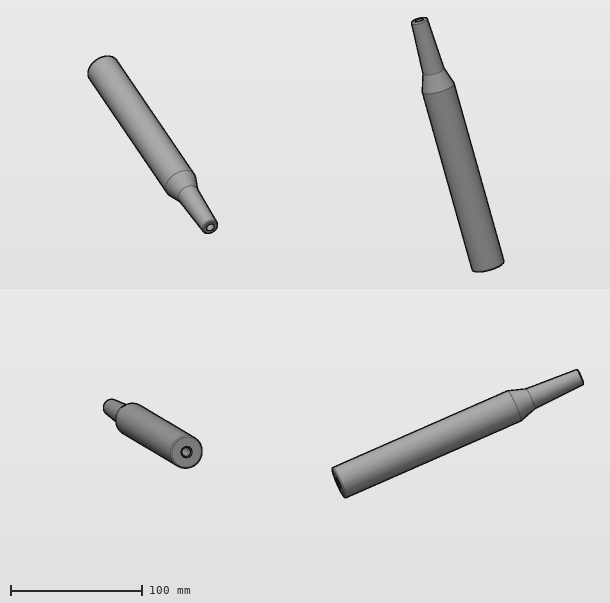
import cadquery as cq

total_length = 203.2
body_length = 147.5
shoulder_length = 13.6
mouth_cone_length = 0.5
throat_cone_length = 0.8
thread_bore_depth = 24.4

body_diameter = 25.5
neck_diameter = 16.9
tip_diameter = 12.8
thread_bore_diameter = 7.0
through_bore_diameter = 6.3
throat_diameter = 8.0
bore_mouth_diameter = 8.7

body_fillet = 1.0
tip_fillet = 1.0

body_radius = body_diameter / 2
neck_radius = neck_diameter / 2
tip_radius = tip_diameter / 2
neck_start = body_length + shoulder_length


def turned_shank():
    """Cylindrical body, conical shoulder and slender tapered neck, turned about X."""
    return (
        cq.Workplane("XY")
        .moveTo(0, 0)
        .lineTo(0, body_radius - body_fillet)
        .radiusArc((body_fillet, body_radius), body_fillet)
        .lineTo(body_length, body_radius)
        .lineTo(neck_start, neck_radius)
        .lineTo(total_length - tip_fillet, tip_radius)
        .radiusArc((total_length, tip_radius - tip_fillet), tip_fillet)
        .lineTo(total_length, 0)
        .close()
        .revolve(360, (0, 0, 0), (1, 0, 0))
    )


def stepped_bore():
    """Through bore, widened in steps at the body end and flared by two cones at its mouth."""
    throat_radius = throat_diameter / 2
    thread_radius = thread_bore_diameter / 2
    through_radius = through_bore_diameter / 2
    mouth_radius = bore_mouth_diameter / 2
    return (
        cq.Workplane("XY")
        .moveTo(0, 0)
        .lineTo(0, mouth_radius)
        .lineTo(mouth_cone_length, throat_radius)
        .lineTo(mouth_cone_length + throat_cone_length, thread_radius)
        .lineTo(thread_bore_depth, thread_radius)
        .lineTo(thread_bore_depth, through_radius)
        .lineTo(total_length, through_radius)
        .lineTo(total_length, 0)
        .close()
        .revolve(360, (0, 0, 0), (1, 0, 0))
    )


result = turned_shank().cut(stepped_bore())